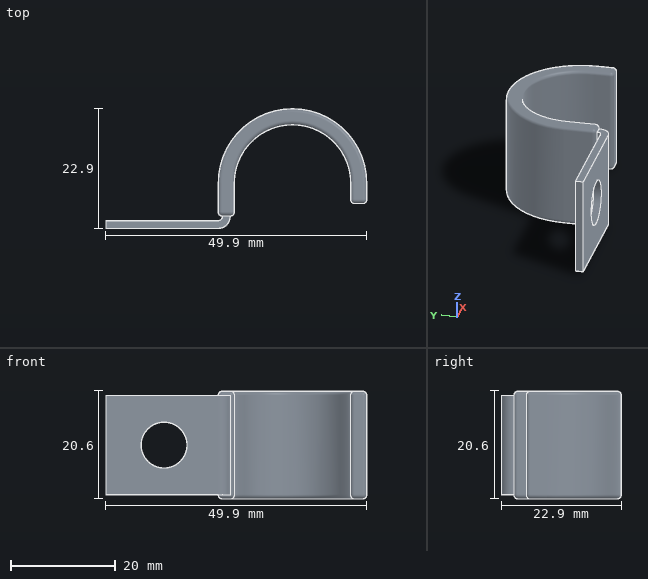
import cadquery as cq

strap_thickness = 1.524
strap_width = 19.05
cushion_wall = 0.79375
inner_radius = 11.1125
long_leg = 6.35
short_leg = 3.96875
overall_length = 49.91
overall_depth = 22.94
bend_inner_radius = 0.79375
hole_diameter = 8.73125
hole_edge_distance = 11.1125

cushion_thickness = strap_thickness + 2 * cushion_wall
cushion_width = strap_width + 2 * cushion_wall
outer_radius = inner_radius + cushion_thickness
strap_outer_radius = outer_radius - cushion_wall
strap_inner_radius = strap_outer_radius - strap_thickness
flange_end_x = outer_radius - overall_length
flange_front_y = outer_radius - overall_depth
flange_back_y = flange_front_y + strap_thickness
bend_outer_radius = bend_inner_radius + strap_thickness
bend_center_x = -strap_outer_radius - bend_inner_radius
bend_center_y = flange_back_y + bend_inner_radius


def make_cushion():
    """Half loop with two straight legs, rounded on all its outer edges."""
    return (
        cq.Workplane("XY")
        .workplane(offset=-cushion_width / 2)
        .moveTo(-outer_radius, -long_leg)
        .lineTo(-outer_radius, 0)
        .threePointArc((0, outer_radius), (outer_radius, 0))
        .lineTo(outer_radius, -short_leg)
        .lineTo(inner_radius, -short_leg)
        .lineTo(inner_radius, 0)
        .threePointArc((0, inner_radius), (-inner_radius, 0))
        .lineTo(-inner_radius, -long_leg)
        .close()
        .extrude(cushion_width)
        .faces("|Z or -Y")
        .edges()
        .fillet(cushion_wall)
    )


def make_flange_strap():
    """Flat flange, bend and the end of the strap that runs up into the cushion."""
    return (
        cq.Workplane("XY")
        .workplane(offset=-strap_width / 2)
        .moveTo(flange_end_x, flange_front_y)
        .lineTo(bend_center_x, flange_front_y)
        .radiusArc((bend_center_x + bend_outer_radius, bend_center_y), -bend_outer_radius)
        .lineTo(-strap_inner_radius, 0)
        .lineTo(-strap_outer_radius, 0)
        .lineTo(-strap_outer_radius, bend_center_y)
        .radiusArc((bend_center_x, flange_back_y), bend_inner_radius)
        .lineTo(flange_end_x, flange_back_y)
        .close()
        .extrude(strap_width)
    )


def make_screw_hole():
    """Cutter for the round hole through the flange."""
    return (
        cq.Workplane("XZ", origin=(flange_end_x + hole_edge_distance, flange_back_y, 0))
        .circle(hole_diameter / 2)
        .extrude(strap_thickness)
    )


result = make_cushion().union(make_flange_strap()).cut(make_screw_hole())